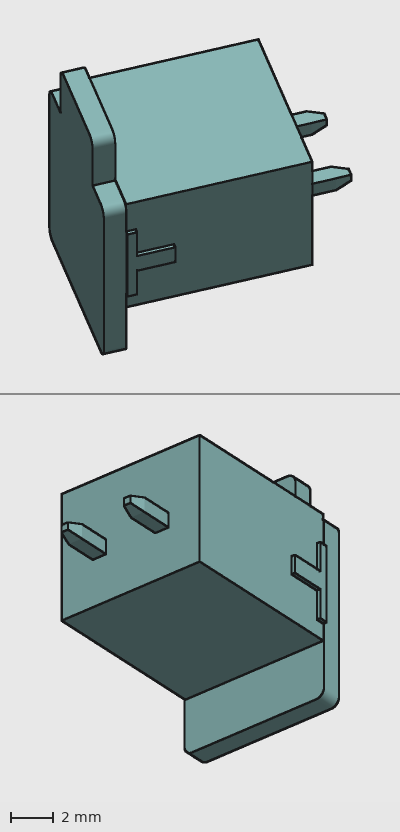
import cadquery as cq

plate_width = 8.5
plate_thickness = 1.12
plate_height = 13.0
shoulder_height = 10.0
tab_width = 5.0
plate_corner_radius = 0.5

housing_width = 8.4
housing_length = 9.19
housing_height = 7.0
housing_bottom = 3.07
housing_back = plate_thickness + housing_length

clip_span = 8.81
clip_thickness = (clip_span - housing_width) / 2
clip_centre_height = 6.11
clip_bar_height = 4.21
clip_bar_length = 0.48
clip_stem_height = 1.0
clip_length = 2.37

overall_length = 12.9
pin_size = 0.8
pin_tip_size = 0.4
pin_tip_length = 0.8
pin_spacing = 3.8
pin_centre_height = 6.1
pin_shank_length = overall_length - housing_back - pin_tip_length


def make_plate():
    """Flat plate with a narrower tab on top and rounded outer corners."""
    lower_part = (
        cq.Workplane("XY")
        .box(plate_width, plate_thickness, shoulder_height, centered=(True, False, False))
        .edges("|Y")
        .fillet(plate_corner_radius)
    )
    tab = (
        cq.Workplane("XY")
        .box(tab_width, plate_thickness, plate_height, centered=(True, False, False))
        .edges("|Y and >Z")
        .fillet(plate_corner_radius)
    )
    return lower_part.union(tab)


def make_clip(side):
    """T-shaped raised clip; side is -1 for the -X face and +1 for the +X face."""
    centre_x = side * (housing_width + clip_thickness) / 2
    base = cq.Workplane("XY", origin=(centre_x, plate_thickness, clip_centre_height))
    bar = base.box(clip_thickness, clip_bar_length, clip_bar_height, centered=(True, False, True))
    stem = base.box(clip_thickness, clip_length, clip_stem_height, centered=(True, False, True))
    return bar.union(stem)


def make_housing():
    """Rectangular block with a clip on each side."""
    housing = cq.Workplane("XY", origin=(0, plate_thickness, housing_bottom)).box(
        housing_width, housing_length, housing_height, centered=(True, False, False)
    )
    for side in (-1, 1):
        housing = housing.union(make_clip(side))
    return housing


def make_pin(centre_x):
    """Square pin standing on the back face of the housing, tapered at its free end."""
    back_plane = cq.Plane(
        origin=(centre_x, housing_back, pin_centre_height), xDir=(1, 0, 0), normal=(0, 1, 0)
    )
    shank = cq.Workplane(back_plane).rect(pin_size, pin_size).extrude(pin_shank_length)
    return (
        shank.faces(">Y")
        .workplane()
        .rect(pin_size, pin_size)
        .workplane(offset=pin_tip_length)
        .rect(pin_tip_size, pin_tip_size)
        .loft(combine=True)
    )


plate = make_plate()
housing = make_housing()
pins = [make_pin(side * pin_spacing / 2).val() for side in (-1, 1)]

result = cq.Compound.makeCompound([plate.val(), housing.val(), *pins])